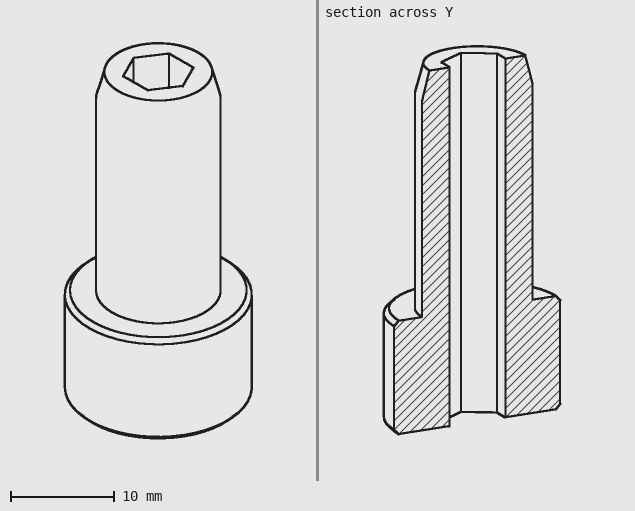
import cadquery as cq
import math

total_height = 36.3

head_diameter = 18.0
head_height = 11.5
head_chamfer = 0.5

shank_diameter = 12.0
taper_length = 3.0
taper_angle = 15.0

hex_across_flats = 6.0
hex_sides = 6
hex_turn = 90


def make_head():
    """Round head at the bottom, chamfered on both rims."""
    head = cq.Workplane("XY").circle(head_diameter / 2).extrude(head_height)
    return head.edges("%CIRCLE").chamfer(head_chamfer)


def make_shank():
    """Plain cylinder above the head, narrowing to a cone at the free end."""
    shank_radius = shank_diameter / 2
    tip_radius = shank_radius - taper_length * math.tan(math.radians(taper_angle))
    half_profile = (
        cq.Workplane("XZ")
        .moveTo(0, head_height)
        .lineTo(shank_radius, head_height)
        .lineTo(shank_radius, total_height - taper_length)
        .lineTo(tip_radius, total_height)
        .lineTo(0, total_height)
        .close()
    )
    return half_profile.revolve(360, (0, 0, 0), (0, 1, 0))


def make_hex_hole():
    """Hexagonal prism over the full height, with corners on the Y axis."""
    across_corners = hex_across_flats / math.cos(math.pi / hex_sides)
    prism = cq.Workplane("XY").polygon(hex_sides, across_corners).extrude(total_height)
    return prism.rotate((0, 0, 0), (0, 0, 1), hex_turn)


result = make_head().union(make_shank()).cut(make_hex_hole())